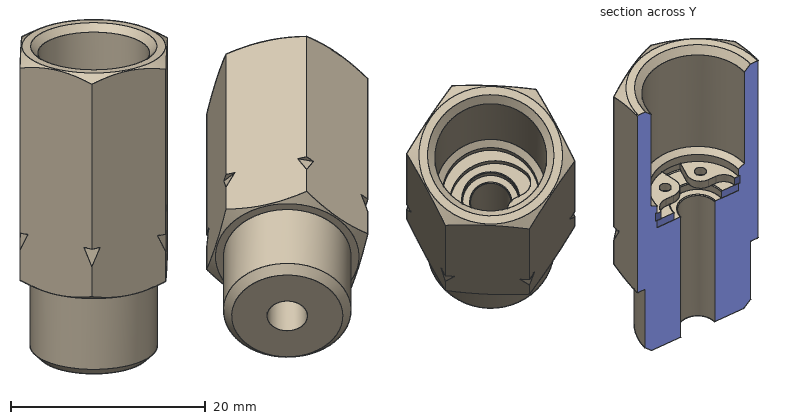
import cadquery as cq
import math

total_height = 34.0
across_flats = 15.0
hexagon_sides = 6
corner_spacing = 360 / hexagon_sides
first_corner_angle = corner_spacing / 2
across_corners = across_flats / math.cos(math.radians(first_corner_angle))
corner_radius = across_corners / 2

stub_radius = 6.55
stub_length = 9.0
stub_chamfer = 0.85

bevel_start_radius = 7.38
bevel_angle = 30.0
bevel_drop = (corner_radius - bevel_start_radius) * math.tan(math.radians(bevel_angle))

notch_top_height = 15.0
notch_length = 1.95
notch_depth = 0.48
notch_width = 3.4

socket_radius = 5.75
socket_chamfer = 0.75
socket_depth = 13.6
floor_angle = 30.0
seat_bore_radius = 5.0
passage_radius = 2.07
edge_break = 0.1

ring_radius = 5.2
ring_thickness = 1.0
ring_opening_radius = 4.73
ring_opening_offset = 0.95
ring_corner_radius = 1.43
ring_gap_angle = 13.1
lug_hole_x = 2.18
lug_hole_y = -2.75
lug_hole_radius = 0.6

washer_thickness = 1.0
washer_hole_radius = 2.9

socket_floor = total_height - socket_depth
floor_cone_height = (socket_radius - seat_bore_radius) * math.tan(math.radians(floor_angle))
seat_bore_top = socket_floor - floor_cone_height
ring_top = seat_bore_top - ring_thickness
ring_bottom = ring_top - ring_thickness
washer_bottom = ring_bottom - washer_thickness


def cylinder(radius, bottom, top):
    return cq.Workplane("XY").workplane(offset=bottom).circle(radius).extrude(top - bottom)


def cone(bottom_radius, top_radius, bottom, top):
    solid = cq.Solid.makeCone(bottom_radius, top_radius, top - bottom, cq.Vector(0, 0, bottom))
    return cq.Workplane(obj=solid)


def make_hexagon():
    """Hexagonal prism with two corners on the Y axis and both ends bevelled."""
    prism = (
        cq.Workplane("XY")
        .workplane(offset=stub_length)
        .polygon(hexagon_sides, across_corners)
        .extrude(total_height - stub_length)
        .rotate((0, 0, 0), (0, 0, 1), first_corner_angle)
    )
    bevel_envelope = (
        cq.Workplane("XZ")
        .moveTo(0, stub_length)
        .lineTo(bevel_start_radius, stub_length)
        .lineTo(corner_radius, stub_length + bevel_drop)
        .lineTo(corner_radius, total_height - bevel_drop)
        .lineTo(bevel_start_radius, total_height)
        .lineTo(0, total_height)
        .close()
        .revolve(360, (0, 0, 0), (0, 1, 0))
    )
    return prism.intersect(bevel_envelope)


def make_notch(angle):
    """Wedge that cuts a hexagon corner: flat on top, running out downwards."""
    return (
        cq.Workplane("XZ")
        .moveTo(corner_radius - notch_depth, notch_top_height)
        .lineTo(corner_radius, notch_top_height)
        .lineTo(corner_radius, notch_top_height - notch_length)
        .close()
        .extrude(notch_width / 2, both=True)
        .rotate((0, 0, 0), (0, 0, 1), angle)
    )


def make_housing():
    stub = cylinder(stub_radius, 0, stub_length).faces("<Z").chamfer(stub_chamfer)
    housing = make_hexagon().union(stub)
    for corner in range(hexagon_sides):
        housing = housing.cut(make_notch(first_corner_angle + corner_spacing * corner))

    mouth_radius = socket_radius + socket_chamfer
    housing = housing.cut(cylinder(socket_radius, socket_floor, total_height))
    housing = housing.cut(cone(socket_radius, mouth_radius, total_height - socket_chamfer, total_height))
    housing = housing.cut(cone(seat_bore_radius, socket_radius, seat_bore_top, socket_floor))

    housing = housing.cut(cylinder(seat_bore_radius, washer_bottom, seat_bore_top))
    housing = housing.cut(cylinder(ring_radius, ring_bottom, ring_top))

    housing = housing.cut(cylinder(passage_radius, 0, washer_bottom))
    edge_radius = passage_radius + edge_break
    return housing.cut(cone(passage_radius, edge_radius, washer_bottom - edge_break, washer_bottom))


def make_washer():
    washer = cylinder(seat_bore_radius, washer_bottom, ring_bottom)
    washer = washer.cut(cylinder(washer_hole_radius, washer_bottom, ring_bottom))
    edge_radius = washer_hole_radius + edge_break
    return washer.cut(cone(washer_hole_radius, edge_radius, ring_bottom - edge_break, ring_bottom))


def polar(center, radius, angle):
    return (center[0] + radius * math.cos(angle), center[1] + radius * math.sin(angle))


def make_retaining_ring():
    """Internal circlip with a radial gap towards -Y and a round lug with a plier hole on each side."""
    center = (0, 0)
    gap_direction = math.radians(ring_gap_angle - 90)

    hole = (lug_hole_x, lug_hole_y)
    hole_distance = math.hypot(*hole)
    hole_to_gap_angle = math.atan2(lug_hole_y, lug_hole_x) - gap_direction
    lug_radius = hole_distance * math.sin(hole_to_gap_angle)
    lug_tangent_angle = gap_direction - math.pi / 2
    lug_top_angle = -1.5 * math.pi
    gap_outer = polar(center, ring_radius, gap_direction)
    gap_inner = polar(center, hole_distance * math.cos(hole_to_gap_angle), gap_direction)
    lug_middle = polar(hole, lug_radius, (lug_tangent_angle + lug_top_angle) / 2)
    lug_top = polar(hole, lug_radius, lug_top_angle)

    opening_center = (0, -ring_opening_offset)
    corner_y = lug_top[1] + ring_corner_radius
    corner_rise = corner_y + ring_opening_offset
    corner_x = math.sqrt((ring_opening_radius - ring_corner_radius) ** 2 - corner_rise**2)
    corner = (corner_x, corner_y)
    corner_end_angle = math.atan2(corner_rise, corner_x)
    corner_start = polar(corner, ring_corner_radius, -math.pi / 2)
    corner_middle = polar(corner, ring_corner_radius, (corner_end_angle - math.pi / 2) / 2)
    corner_end = polar(corner, ring_corner_radius, corner_end_angle)
    opening_top = polar(opening_center, ring_opening_radius, math.pi / 2)

    def mirrored(point):
        return (-point[0], point[1])

    outline = (
        cq.Workplane("XY")
        .workplane(offset=ring_bottom)
        .moveTo(*gap_outer)
        .lineTo(*gap_inner)
        .threePointArc(lug_middle, lug_top)
        .lineTo(*corner_start)
        .threePointArc(corner_middle, corner_end)
        .threePointArc(opening_top, mirrored(corner_end))
        .threePointArc(mirrored(corner_middle), mirrored(corner_start))
        .lineTo(*mirrored(lug_top))
        .threePointArc(mirrored(lug_middle), mirrored(gap_inner))
        .lineTo(*mirrored(gap_outer))
        .threePointArc((0, ring_radius), gap_outer)
        .close()
    )
    ring = outline.extrude(ring_thickness)
    for plier_hole in (hole, mirrored(hole)):
        ring = ring.cut(cylinder(lug_hole_radius, ring_bottom, ring_top).translate((*plier_hole, 0)))
    return ring


housing = make_housing()
washer = make_washer()
retaining_ring = make_retaining_ring()

result = cq.Compound.makeCompound([housing.val(), washer.val(), retaining_ring.val()])